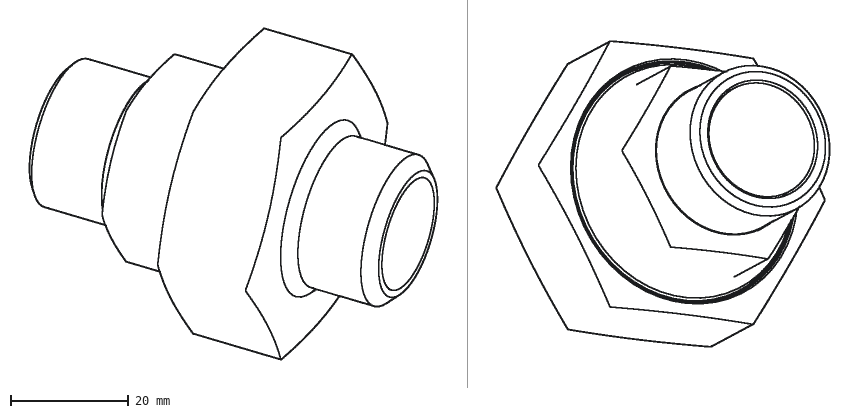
import cadquery as cq
import math

overall_length = 66.4
neck_start = 14.5
small_hex_start = 16.5
nut_start = 31.15
nut_end = 49.9
cone_end = 52.1

bore_radius = 10.0
bore_chamfer = 0.4

thread_radius = 13.22
thread_chamfer_length = 1.1
thread_end_radius = 11.9
neck_radius = 13.35
neck_fillet = 0.45

small_hex_width = 32.0
nut_width = 47.0
edge_rounding = 0.3
small_hex_base_fillet = 0.45
hex_chamfer_angle = 15.0
small_hex_face_radius = 15.9
nut_face_radius = 23.4

collar_radius = 20.9
nut_bore_radius = 21.2
collar_chamfer = 0.4
nut_bore_chamfer = 0.3
clearance_depth = 1.0

weld_radius = 13.5
weld_chamfer = 2.25


def revolve_about_axis(outline):
    """Revolve an outline of (axial position, radius) points about the X axis."""
    profile = cq.Workplane("XY").polyline(outline).close()
    return profile.revolve(360, (0, 0, 0), (1, 0, 0))


def corner_radius(width):
    """Radius to the sharp corners of a hexagon of the given width across flats."""
    return width / 2 / math.cos(math.radians(30))


def hexagon(start, end, width):
    """Hexagonal prism along X with flats up and down and rounded long edges."""
    base = cq.Workplane("YZ", origin=(start, 0, 0))
    prism = base.polygon(6, 2 * corner_radius(width)).extrude(end - start)
    return prism.edges("|X").fillet(edge_rounding)


def chamfer_envelope(start, end, width, face_radius, chamfer_far_end):
    """Round blank whose conical ends trim the hexagon corners."""
    outer_radius = corner_radius(width)
    drop = (outer_radius - face_radius) * math.tan(math.radians(hex_chamfer_angle))
    outline = [(start, 0), (start, face_radius), (start + drop, outer_radius)]
    if chamfer_far_end:
        outline += [(end - drop, outer_radius), (end, face_radius), (end, 0)]
    else:
        outline += [(end, outer_radius), (end, 0)]
    return revolve_about_axis(outline)


def make_nut():
    """Large union nut, chamfered on both faces, with the clearance ring around the collar."""
    nut = hexagon(nut_start, nut_end, nut_width)
    nut = nut.intersect(chamfer_envelope(nut_start, nut_end, nut_width, nut_face_radius, True))
    ring = revolve_about_axis([
        (nut_start, collar_radius - collar_chamfer),
        (nut_start + collar_chamfer, collar_radius),
        (nut_start + clearance_depth, collar_radius),
        (nut_start + clearance_depth, nut_bore_radius),
        (nut_start + nut_bore_chamfer, nut_bore_radius),
        (nut_start, nut_bore_radius + nut_bore_chamfer),
    ])
    return nut.cut(ring)


def add_small_hexagon(body):
    """Wrench hexagon with a fillet where it meets the collar face."""
    small_hex = hexagon(small_hex_start, nut_start, small_hex_width)
    envelope = chamfer_envelope(
        small_hex_start, nut_start, small_hex_width, small_hex_face_radius, False
    )
    body = body.union(small_hex.intersect(envelope))
    reach = corner_radius(small_hex_width)
    half_depth = small_hex_base_fillet / 2
    base_region = cq.selectors.BoxSelector(
        (nut_start - half_depth, -reach, -reach),
        (nut_start + half_depth, reach, reach),
        boundingbox=True,
    )
    return body.edges(base_region).fillet(small_hex_base_fillet)


def make_spigot():
    """Threaded spigot with a chamfered tip and a neck flaring into the hexagon."""
    flare_start = small_hex_start - neck_fillet
    flare_radius = neck_radius + neck_fillet
    arc_offset = neck_fillet * math.sin(math.radians(45))
    profile = (
        cq.Workplane("XY")
        .moveTo(0, 0)
        .lineTo(0, thread_end_radius)
        .lineTo(thread_chamfer_length, thread_radius)
        .lineTo(neck_start, thread_radius)
        .lineTo(neck_start, neck_radius)
        .lineTo(flare_start, neck_radius)
        .threePointArc(
            (flare_start + arc_offset, flare_radius - arc_offset),
            (small_hex_start, flare_radius),
        )
        .lineTo(small_hex_start, 0)
        .close()
    )
    return profile.revolve(360, (0, 0, 0), (1, 0, 0))


def make_weld_end():
    """Plain tail with a conical shoulder at the nut and a bevelled end."""
    return revolve_about_axis([
        (nut_end, 0),
        (nut_end, weld_radius + cone_end - nut_end),
        (cone_end, weld_radius),
        (overall_length - weld_chamfer, weld_radius),
        (overall_length, weld_radius - weld_chamfer),
        (overall_length, 0),
    ])


def make_bore():
    """Through bore with a small chamfer at the threaded end."""
    return revolve_about_axis([
        (0, 0),
        (0, bore_radius + bore_chamfer),
        (bore_chamfer, bore_radius),
        (overall_length, bore_radius),
        (overall_length, 0),
    ])


body = add_small_hexagon(make_nut())
body = body.union(make_spigot()).union(make_weld_end())
result = body.cut(make_bore())